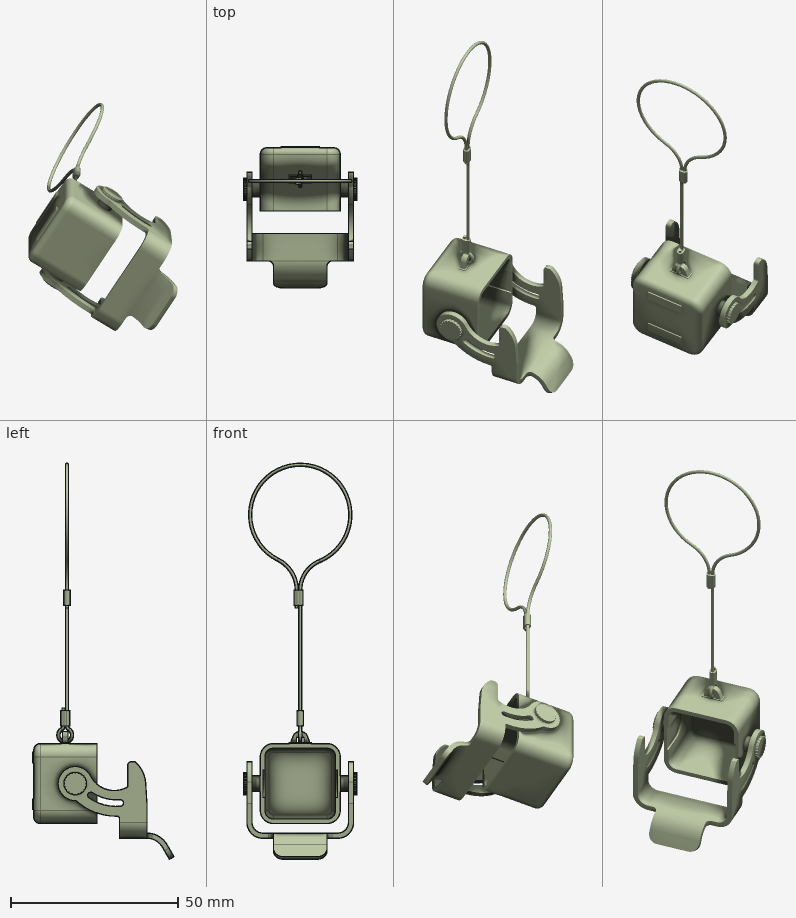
import cadquery as cq
import math


cap_size = 24.0
cap_front = -6.56
cap_back = 12.45
cap_corner_radius = 4.0
cap_back_fillet = 2.0
cap_wall = 1.4
cap_floor = 1.7
cap_inner_fillet = 1.25

pad_height = 0.35
pad_width = 11.4
pad_depth = 3.2
pad_centers_z = (7.8, -6.2)

recess_width = 8.2
recess_depth = 0.5

pin_radius = 2.4
head_radius = 3.4
head_outer_x = 16.94
head_notch_count = 20
head_notch_radius = 0.2

sheet = 1.6
lever_half_width = 16.0
lever_bottom = -16.4
lever_bend_radius = 4.8
lobe_radius = 5.1
neck_center = (-11.7, 6.0)
belly_center = (-12.3, 7.8)
belly_radius = 17.6
belly_corner_angle = -93.0
strip_back = -13.2
strip_front = -21.5
strip_front_top = -5.9
horn_back = -15.7
horn_top = 6.56
horn_tip_radius = 1.06
horn_tip_front = -17.9
horn_front_mid = (-20.0, 4.0)
horn_front_end = (-21.1, 0.5)
arm_corner_fillet = 0.6

slot_radius = 13.65
slot_width = 1.9
slot_start_angle = -56.0
slot_end_angle = -95.0

handle_width = 16.1
handle_bend_radius = 6.9
handle_bend_angle = 60.0
handle_length = 4.2
handle_corner_radius = 3.0
handle_root_fillet = 1.5

lug_y = 3.0
lug_thickness = 1.7
lug_half_base = 3.0
lug_arc_radius = 2.35
lug_arc_z = 13.3
lug_side_angle = 15.0
lug_foot_length = 6.6
lug_foot_width = 2.4
lug_foot_height = 0.3
lug_window_width = 2.1
lug_window_height = 1.8

wire_diameter = 1.0
wire_radius = wire_diameter / 2
wire_gap = 0.05
ferrule_length = 2.8
ferrule_width = 2.0
ferrule_height = 4.6
tail_length = 0.8
big_loop_radius = 15.0
big_loop_z = 80.44
big_loop_neck = 22.5
eye_radius = 2.05
eye_neck = 2.75
eye_overlap = 0.05

half_cap = cap_size / 2
inner_half = half_cap - cap_wall
lug_base_z = half_cap
eye_z = half_cap + eye_radius + wire_radius - eye_overlap
wire_pitch = wire_diameter + wire_gap
wire_y = lug_y - wire_pitch / 2
lower_ferrule_z = eye_z + eye_neck
upper_ferrule_top = big_loop_z - big_loop_neck
upper_ferrule_z = upper_ferrule_top - ferrule_height


def polar(center, radius, angle):
    """Point at an angle in degrees on a circle."""
    a = math.radians(angle)
    return (center[0] + radius * math.cos(a), center[1] + radius * math.sin(a))


def box_between(x0, x1, y0, y1, z0, z1):
    """Axis-aligned box from its limits."""
    return cq.Workplane("XY").box(x1 - x0, y1 - y0, z1 - z0, centered=False).translate((x0, y0, z0))


def rounded_block(half, y0, y1, corner, back_fillet):
    """Square block along Y with rounded long edges and a rounded back rim."""
    block = box_between(-half, half, y0, y1, -half, half)
    return block.edges("|Y").fillet(corner).faces(">Y").edges().fillet(back_fillet)


def make_recess(side):
    """Round-ended recess running from the pivot to the open front."""
    depth = cap_wall + recess_depth
    x0 = inner_half - cap_wall
    round_end = cq.Workplane("YZ").circle(recess_width / 2).extrude(depth).translate((x0, 0, 0))
    half = recess_width / 2
    run = box_between(x0, x0 + depth, cap_front, 0, -half, half)
    recess = round_end.union(run)
    return recess if side > 0 else recess.mirror("YZ")


def make_cap():
    cap = rounded_block(half_cap, cap_front, cap_back, cap_corner_radius, cap_back_fillet)
    cavity = rounded_block(
        inner_half,
        cap_front,
        cap_back - cap_floor,
        cap_corner_radius - cap_wall,
        cap_inner_fillet,
    )
    cap = cap.cut(cavity)
    for side in (-1, 1):
        cap = cap.cut(make_recess(side))
    for z in pad_centers_z:
        pad = box_between(
            -pad_width / 2,
            pad_width / 2,
            cap_back - cap_floor / 2,
            cap_back + pad_height,
            z - pad_depth / 2,
            z + pad_depth / 2,
        )
        cap = cap.union(pad)
    return cap


def make_pivot_pin():
    """Pin on the +X side, from the cap wall to its notched head."""
    pin_start = half_cap - cap_wall / 2
    pin_end = lever_half_width
    pin = cq.Workplane("YZ").workplane(offset=pin_start).circle(pin_radius).extrude(pin_end - pin_start)
    head = (
        cq.Workplane("YZ")
        .workplane(offset=pin_end)
        .circle(head_radius)
        .extrude(head_outer_x - pin_end)
    )
    notches = (
        cq.Workplane("YZ")
        .workplane(offset=pin_end)
        .polarArray(head_radius, 0, 360, head_notch_count)
        .circle(head_notch_radius)
        .extrude(head_outer_x - pin_end)
    )
    return pin.union(head.cut(notches))


def make_arm_outline():
    """Side outline of the lever as a solid spanning its full width."""
    neck_distance = math.hypot(*neck_center)
    neck_radius = neck_distance - lobe_radius
    neck_start = tuple(c * lobe_radius / neck_distance for c in neck_center)
    neck_low = (neck_center[0], neck_center[1] - neck_radius)
    horn_drop = math.sqrt(neck_radius**2 - (horn_back - neck_center[0]) ** 2)
    neck_end = (horn_back, neck_center[1] - horn_drop)
    belly_start = polar((0, 0), lobe_radius, belly_corner_angle)
    belly_end = (belly_center[0], belly_center[1] - belly_radius)
    tip_start = (horn_back, horn_top - horn_tip_radius)
    tip_mid = polar((horn_back - horn_tip_radius, tip_start[1]), horn_tip_radius, 45)
    arm = (
        cq.Workplane("YZ")
        .workplane(offset=-lever_half_width)
        .moveTo(*neck_start)
        .threePointArc(neck_low, neck_end)
        .lineTo(*tip_start)
        .threePointArc(tip_mid, (horn_back - horn_tip_radius, horn_top))
        .lineTo(horn_tip_front, horn_top)
        .threePointArc(horn_front_mid, horn_front_end)
        .lineTo(strip_front, strip_front_top)
        .lineTo(strip_front, lever_bottom)
        .lineTo(strip_back, lever_bottom)
        .lineTo(strip_back, belly_end[1])
        .lineTo(*belly_end)
        .radiusArc(belly_start, -belly_radius)
        .threePointArc((lobe_radius, 0), neck_start)
        .close()
        .extrude(2 * lever_half_width)
    )
    for corner in (neck_end, (strip_back, belly_end[1])):
        nearest = cq.selectors.NearestToPointSelector((0, *corner))
        arm = arm.edges("|X").edges(nearest).fillet(arm_corner_fillet)
    return arm


def make_arm_slot():
    """Arc slot with round ends, cut through both arms."""
    outer = slot_radius + slot_width / 2
    inner = slot_radius - slot_width / 2
    middle_angle = (slot_start_angle + slot_end_angle) / 2
    start_center = polar(belly_center, slot_radius, slot_start_angle)
    end_center = polar(belly_center, slot_radius, slot_end_angle)
    start_tip = polar(start_center, slot_width / 2, slot_start_angle + 90)
    end_tip = polar(end_center, slot_width / 2, slot_end_angle - 90)
    return (
        cq.Workplane("YZ")
        .workplane(offset=-lever_half_width)
        .moveTo(*polar(belly_center, outer, slot_start_angle))
        .threePointArc(polar(belly_center, outer, middle_angle), polar(belly_center, outer, slot_end_angle))
        .threePointArc(end_tip, polar(belly_center, inner, slot_end_angle))
        .threePointArc(polar(belly_center, inner, middle_angle), polar(belly_center, inner, slot_start_angle))
        .threePointArc(start_tip, polar(belly_center, outer, slot_start_angle))
        .close()
        .extrude(2 * lever_half_width)
    )


def make_bent_sheet():
    """U-shaped sheet: two side arms joined by the bottom strip."""
    sheet_top = horn_top + sheet
    y0 = strip_front
    y1 = lobe_radius
    w = lever_half_width
    outer = box_between(-w, w, y0, y1, lever_bottom, sheet_top)
    outer = outer.faces("<Z").edges("|Y").fillet(lever_bend_radius)
    w = lever_half_width - sheet
    inner = box_between(-w, w, y0, y1, lever_bottom + sheet, sheet_top)
    inner = inner.faces("<Z").edges("|Y").fillet(lever_bend_radius - sheet)
    return outer.cut(inner)


def make_tongue(width):
    """Sheet tongue of the given width that leaves the strip and bends down."""
    top = lever_bottom + sheet
    center = (strip_front, top - handle_bend_radius)
    end_angle = 90 + handle_bend_angle
    mid_angle = 90 + handle_bend_angle / 2
    run_angle = 180 + handle_bend_angle
    inner_radius = handle_bend_radius - sheet
    bend_end_top = polar(center, handle_bend_radius, end_angle)
    bend_end_bottom = polar(center, inner_radius, end_angle)
    return (
        cq.Workplane("YZ")
        .workplane(offset=-width / 2)
        .moveTo(strip_front, top)
        .threePointArc(polar(center, handle_bend_radius, mid_angle), bend_end_top)
        .lineTo(*polar(bend_end_top, handle_length, run_angle))
        .lineTo(*polar(bend_end_bottom, handle_length, run_angle))
        .lineTo(*bend_end_bottom)
        .threePointArc(polar(center, inner_radius, mid_angle), (strip_front, lever_bottom))
        .close()
        .extrude(width)
    )


def make_handle_root(side):
    """Concave fillet web between the strip edge and the handle side, bent with the tongue."""
    r = handle_root_fillet
    x = handle_width / 2
    arc_center = (side * (x + r), strip_front - r)
    arc_mid = polar(arc_center, r, 135 if side > 0 else 45)
    web = (
        cq.Workplane("XY")
        .workplane(offset=lever_bottom - sheet)
        .moveTo(side * x, strip_front)
        .lineTo(side * (x + r), strip_front)
        .threePointArc(arc_mid, (side * x, strip_front - r))
        .close()
        .extrude(3 * sheet)
    )
    return web.intersect(make_tongue(handle_width + 2 * r))


def make_handle():
    """Finger handle with rounded end corners and filleted roots."""
    tongue = make_tongue(handle_width)
    normal_angle = math.radians(90 + handle_bend_angle)
    sheet_normal = cq.Vector(0, math.cos(normal_angle), math.sin(normal_angle))
    handle = tongue.edges(cq.selectors.ParallelDirSelector(sheet_normal)).fillet(handle_corner_radius)
    for side in (-1, 1):
        handle = handle.union(make_handle_root(side))
    return handle


def make_lever():
    lever = make_bent_sheet().intersect(make_arm_outline()).cut(make_arm_slot())
    return lever.union(make_handle())


def make_lug():
    """Arched lug on a thin foot, with a rectangular window for the wire eye."""
    side_top = polar((0, lug_arc_z), lug_arc_radius, lug_side_angle)
    lug = (
        cq.Workplane("XZ")
        .workplane(offset=-lug_y - lug_thickness / 2)
        .moveTo(-lug_half_base, lug_base_z)
        .lineTo(-side_top[0], side_top[1])
        .threePointArc((0, lug_arc_z + lug_arc_radius), side_top)
        .lineTo(lug_half_base, lug_base_z)
        .close()
        .extrude(lug_thickness)
    )
    half_foot_x = lug_foot_length / 2
    half_foot_y = lug_foot_width / 2
    foot_top = lug_base_z + lug_foot_height
    foot = box_between(
        -half_foot_x, half_foot_x, lug_y - half_foot_y, lug_y + half_foot_y, lug_base_z, foot_top
    )
    window = box_between(
        -lug_window_width / 2,
        lug_window_width / 2,
        lug_y - lug_thickness,
        lug_y + lug_thickness,
        foot_top,
        lug_base_z + lug_window_height,
    )
    return lug.union(foot).cut(window)


def neck_geometry(radius, neck, offset):
    """Radius and loop contact point of the reverse bend that ends vertically at the given offset."""
    bend = (neck**2 + offset**2 - radius**2) / (2 * (radius - offset))
    scale = radius / (radius + bend)
    return bend, ((offset + bend) * scale, -neck * scale)


def neck_midpoint(bend, offset, contact, neck):
    """Middle point of the reverse bend between its vertical end and the loop contact point."""
    center = (offset + bend, -neck)
    contact_angle = math.degrees(math.atan2(contact[1] - center[1], contact[0] - center[0]))
    return polar(center, bend, (180 + contact_angle) / 2)


def lay_wire_loop(path, plane, radius, neck, start_offset, end_offset):
    """Extend the path by a round loop about the plane origin, from its -x neck end to its +x one."""
    start_bend, start_contact = neck_geometry(radius, neck, start_offset)
    end_bend, end_contact = neck_geometry(radius, neck, end_offset)
    start_mid = neck_midpoint(start_bend, start_offset, start_contact, neck)
    end_mid = neck_midpoint(end_bend, end_offset, end_contact, neck)

    def place(x, y):
        return plane.toWorldCoords((x, y, 0))

    def arc(first, middle, last):
        return cq.Edge.makeThreePointArc(place(*first), place(*middle), place(*last))

    start = (-start_offset, -neck)
    loop_start = (-start_contact[0], start_contact[1])
    path.append(arc(start, (-start_mid[0], start_mid[1]), loop_start))
    path.append(arc(loop_start, (0, radius), end_contact))
    path.append(arc(end_contact, end_mid, (end_offset, -neck)))


def make_ferrule(x, y, z, turn):
    """Oblong crimp sleeve standing on its base at z."""
    ferrule = cq.Workplane("XY").slot2D(ferrule_length, ferrule_width, turn).extrude(ferrule_height)
    return ferrule.translate((x, y, z))


def make_wire():
    """One continuous wire: upper tail, big loop, straight run, eye and lower tail."""
    tail_start = cq.Vector(-wire_pitch, wire_y, upper_ferrule_z - tail_length)
    upper_neck = cq.Vector(0, wire_y, upper_ferrule_top)
    lower_neck = cq.Vector(0, wire_y, lower_ferrule_z)
    eye_exit = cq.Vector(0, wire_y + wire_pitch, lower_ferrule_z)
    tail_end = eye_exit + cq.Vector(0, 0, ferrule_height + tail_length)
    loop_plane = cq.Plane(origin=(0, wire_y, big_loop_z), xDir=(1, 0, 0), normal=(0, -1, 0))
    eye_plane = cq.Plane(origin=(0, lug_y, eye_z), xDir=(0, 1, 0), normal=(-1, 0, 0))

    path = [cq.Edge.makeLine(tail_start, upper_neck - cq.Vector(wire_pitch, 0, 0))]
    lay_wire_loop(path, loop_plane, big_loop_radius, big_loop_neck, wire_pitch, 0)
    path.append(cq.Edge.makeLine(upper_neck, lower_neck))
    lay_wire_loop(path, eye_plane, eye_radius, eye_neck, wire_pitch / 2, wire_pitch / 2)
    path.append(cq.Edge.makeLine(eye_exit, tail_end))
    section = cq.Workplane("XY", origin=tail_start.toTuple()).circle(wire_radius)
    return section.sweep(cq.Wire.assembleEdges(path))


def make_lanyard():
    upper_ferrule = make_ferrule(-wire_pitch / 2, wire_y, upper_ferrule_z, 0)
    lower_ferrule = make_ferrule(0, lug_y, lower_ferrule_z, 90)
    return make_wire().union(upper_ferrule).union(lower_ferrule)


pin = make_pivot_pin()
result = make_cap().union(pin).union(pin.mirror("YZ"))
result = result.union(make_lever()).union(make_lug()).union(make_lanyard())